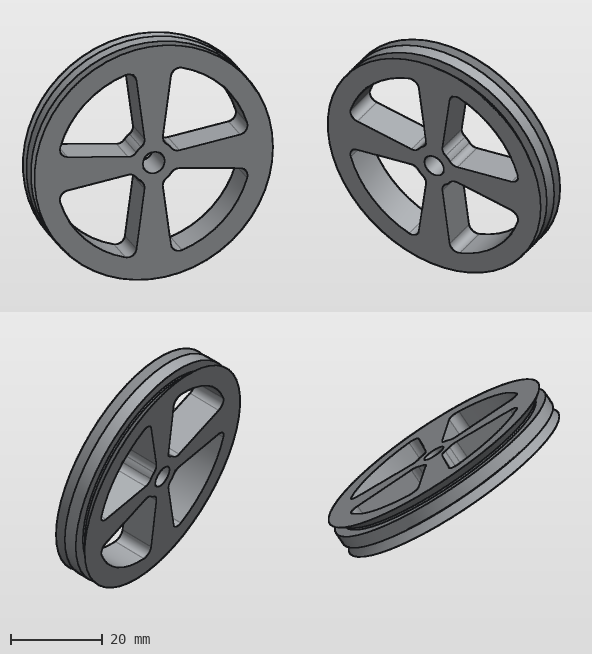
import cadquery as cq
import math

outer_diameter = 55.0
width = 8.0
bore_diameter = 5.0

groove_floor_diameter = 50.0
rib_width = 3.0
groove_floor_outer_width = 4.0

hub_diameter = 10.0
rim_inner_diameter = 45.0
spoke_width_at_hub = 3.9
spoke_width_at_rim = 8.5
spoke_count = 4
window_corner_radius = 2.0


def point_on_circle(radius, angle):
    return radius * math.cos(angle), radius * math.sin(angle)


def wheel_body():
    """Revolve the grooved rim profile around the X axis."""
    outer_radius = outer_diameter / 2
    floor_radius = groove_floor_diameter / 2
    profile = (
        cq.Workplane("XY")
        .moveTo(-width / 2, 0)
        .lineTo(-width / 2, outer_radius)
        .lineTo(-groove_floor_outer_width / 2, floor_radius)
        .lineTo(-rib_width / 2, floor_radius)
        .lineTo(-rib_width / 2, outer_radius)
        .lineTo(rib_width / 2, outer_radius)
        .lineTo(rib_width / 2, floor_radius)
        .lineTo(groove_floor_outer_width / 2, floor_radius)
        .lineTo(width / 2, outer_radius)
        .lineTo(width / 2, 0)
        .close()
    )
    return profile.revolve(360, (0, 0, 0), (1, 0, 0))


def window():
    """Rounded cutter for one opening, bounded by hub, rim and two spokes."""
    hub_radius = hub_diameter / 2
    rim_radius = rim_inner_diameter / 2
    sector_angle = 2 * math.pi / spoke_count
    hub_start = math.asin(spoke_width_at_hub / 2 / hub_radius)
    rim_start = math.asin(spoke_width_at_rim / 2 / rim_radius)
    outline = (
        cq.Workplane("YZ", origin=(-width / 2, 0, 0))
        .moveTo(*point_on_circle(hub_radius, hub_start))
        .lineTo(*point_on_circle(rim_radius, rim_start))
        .threePointArc(
            point_on_circle(rim_radius, sector_angle / 2),
            point_on_circle(rim_radius, sector_angle - rim_start),
        )
        .lineTo(*point_on_circle(hub_radius, sector_angle - hub_start))
        .threePointArc(
            point_on_circle(hub_radius, sector_angle / 2),
            point_on_circle(hub_radius, hub_start),
        )
        .close()
    )
    return outline.extrude(width).edges("|X").fillet(window_corner_radius)


bore = cq.Workplane("YZ", origin=(-width / 2, 0, 0)).circle(bore_diameter / 2).extrude(width)

result = wheel_body().cut(bore)
window_cutter = window()
for index in range(spoke_count):
    turn = index * 360 / spoke_count
    result = result.cut(window_cutter.rotate((0, 0, 0), (1, 0, 0), turn))